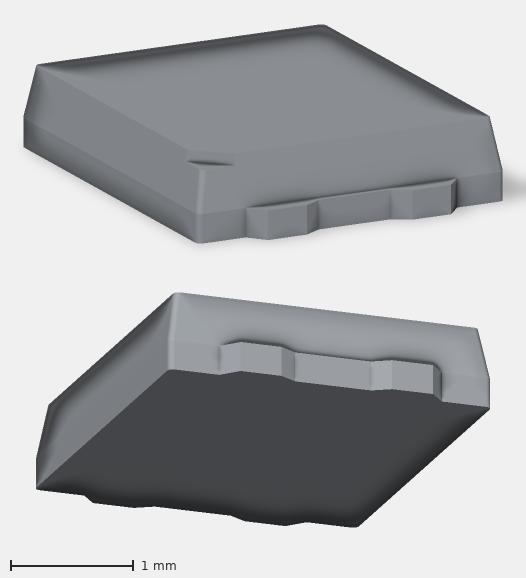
import cadquery as cq
import math

package_length = 3.5
package_height = 0.7

housing_length = 3.2
housing_width = 2.8
base_height = 0.25
draft_angle = 10.0
corner_radius = 0.05

cavity_length = 2.9
cavity_width = 2.45
cavity_chamfer = 0.2
cavity_offset_x = -0.01
cavity_offset_y = 0.005

notch_depth = 0.1
notch_leg_x = 0.26
notch_leg_y = 0.28

lead_thickness = base_height
pad_gap = 0.96
pad_tip_width = 0.355
pad_recess = 0.09
pad_inner_flank_run = 0.15
pad_outer_flank_run = 0.13

upper_height = package_height - base_height
draft_inset = upper_height * math.tan(math.radians(draft_angle))
top_corner_x = housing_length / 2 - draft_inset
top_corner_y = housing_width / 2 - draft_inset


def make_cavity_block():
    """Octagonal block that fills the cavity, flush with the top face."""
    return (
        cq.Workplane("XY", origin=(cavity_offset_x, cavity_offset_y, base_height))
        .rect(cavity_length, cavity_width)
        .extrude(upper_height)
        .edges("|Z")
        .chamfer(cavity_chamfer)
    )


def make_notch_cutter():
    """Triangular prism over the marked corner, reaching past both side walls."""
    slope = notch_leg_y / notch_leg_x
    reach = 2 * draft_inset
    outer_x = top_corner_x + reach
    outer_y = -top_corner_y - reach
    start_x = top_corner_x - notch_leg_x - reach / slope
    end_y = -top_corner_y + notch_leg_y + reach * slope
    return (
        cq.Workplane("XY", origin=(0, 0, package_height - notch_depth))
        .polyline([(start_x, outer_y), (outer_x, outer_y), (outer_x, end_y)])
        .close()
        .extrude(notch_depth)
    )


def make_housing():
    """Base and drafted upper part with the cavity and the notch cut out."""
    base = cq.Workplane("XY").rect(housing_length, housing_width).extrude(base_height)
    upper = (
        cq.Workplane("XY", origin=(0, 0, base_height))
        .rect(housing_length, housing_width)
        .extrude(upper_height, taper=draft_angle)
    )
    shell = base.union(upper).edges("not #Z").fillet(corner_radius)
    return shell.cut(make_cavity_block()).cut(make_notch_cutter())


def make_lead(side):
    """Lead butted against the housing wall; side is +1 for +X and -1 for -X."""
    wall_x = housing_length / 2
    tip_x = package_length / 2
    middle_x = tip_x - pad_recess
    tip_inner_y = pad_gap / 2
    tip_outer_y = tip_inner_y + pad_tip_width
    middle_y = tip_inner_y - pad_inner_flank_run
    root_y = tip_outer_y + pad_outer_flank_run

    half_outline = [
        (wall_x, root_y),
        (tip_x, tip_outer_y),
        (tip_x, tip_inner_y),
        (middle_x, middle_y),
    ]
    mirrored_half = [(x, -y) for x, y in reversed(half_outline)]
    outline = [(side * x, y) for x, y in half_outline + mirrored_half]
    return cq.Workplane("XY").polyline(outline).close().extrude(lead_thickness)


housing = make_housing()
encapsulant = make_cavity_block()
leads = [make_lead(side) for side in (-1, 1)]

result = cq.Compound.makeCompound(
    [housing.val(), encapsulant.val(), *[lead.val() for lead in leads]]
)